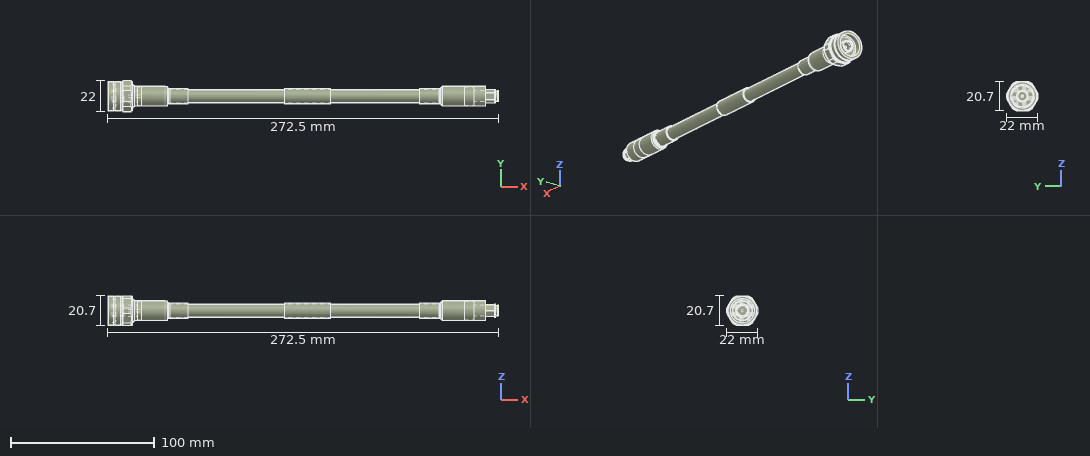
import cadquery as cq
import math


TOTAL_LENGTH = 272.5

CABLE_RADIUS = 4.5
SLEEVE_RADIUS = 5.5
FRONT_SLEEVE_END = 55.8
LABEL_START = 123.0
LABEL_END = 155.3
REAR_SLEEVE_START = 217.0

NUT_RADIUS = 20.5 / 2
NUT_HEX_FLATS = 20.7
NUT_HEX_CORNERS = 22.0
NUT_HEX_START = 10.4
NUT_HEX_END = 17.0
NUT_HEX_CHAMFER = 1.0
NUT_LENGTH = 18.5
NUT_COLLAR_RADIUS = 8.5
NUT_COLLAR_END_RADIUS = 7.0
NUT_BORE_RADIUS = 8.2
NUT_BORE_FLOOR_CHAMFER = 0.8
NUT_BORE_DEPTH = 5.5
NUT_GROOVE_STARTS = (3.8, 8.7)
NUT_GROOVE_WIDTH = 0.8
NUT_GROOVE_DEPTH = 0.3

SHELL_RADIUS = 14.0 / 2
FLANGE_RADIUS = 6.5
NECK_RADIUS = 5.5
NECK_LENGTH = 1.5
NECK_FLARE_LENGTH = 0.8
NECK_FLARE_RADIUS = 5.7

FRONT_SHELL_START = NUT_LENGTH
FRONT_SHELL_END = 41.5
FRONT_SHELL_BEVEL_LENGTH = 1.5
FRONT_SHELL_BEVEL_DEPTH = 0.14
FRONT_NECK_END = FRONT_SHELL_END + NECK_LENGTH
SPIGOT_RADIUS = 4.0
SPIGOT_BORE_RADIUS = 3.3
SPIGOT_BORE_END = 11.0
SPIGOT_START = 2.7
SPIGOT_FLANGE_START = 20.5
SPIGOT_FLANGE_END = 23.5
PIN_RADIUS = 0.8
PIN_START = 5.5

REAR_SHELL_START = 232.4
REAR_SHELL_END = 263.5
REAR_SHELL_CHAMFER = 0.8
REAR_NECK_START = REAR_SHELL_START - NECK_LENGTH
TIP_FLANGE_START = 248.5
TIP_FLANGE_END = 255.2
SHANK_RADIUS = 3.8
TIP_HEX_FLATS = 8.5
TIP_RADIUS = 9.5 / 2
TIP_HEX_END = 269.5
TIP_COLLAR_END = 270.2
TIP_GROOVE_RADIUS = 7.4 / 2
TIP_DISC_START = 271.5
TIP_DISC_RADIUS = 3.8


def turned(*profile):
    """Solid turned about the X axis from a closed outline of (x, radius) points."""
    return cq.Workplane("XZ").polyline(profile).close().revolve(360, (0, 0), (1, 0))


def tube(start, end, outer_radius, inner_radius=0):
    return turned((start, inner_radius), (start, outer_radius), (end, outer_radius), (end, inner_radius))


def hexagon(start, end, flats):
    corners = flats / math.cos(math.pi / 6)
    return cq.Workplane("YZ", origin=(start, 0, 0)).polygon(6, corners).extrude(end - start)


def make_nut():
    """Grooved nut with a hexagon, a tapered rear collar and a bore that fits round the spigot."""
    corner_radius = NUT_HEX_CORNERS / 2
    hex_blank = turned(
        (NUT_HEX_START, 0),
        (NUT_HEX_START, corner_radius),
        (NUT_HEX_END - NUT_HEX_CHAMFER, corner_radius),
        (NUT_HEX_END, corner_radius - NUT_HEX_CHAMFER),
        (NUT_HEX_END, 0),
    )
    nut = hex_blank.intersect(hexagon(NUT_HEX_START, NUT_HEX_END, NUT_HEX_FLATS))
    nut = nut.union(tube(0, NUT_HEX_START, NUT_RADIUS))
    collar = turned(
        (NUT_HEX_END, 0),
        (NUT_HEX_END, NUT_COLLAR_RADIUS),
        (NUT_LENGTH, NUT_COLLAR_END_RADIUS),
        (NUT_LENGTH, 0),
    )
    nut = nut.union(collar)
    for start in NUT_GROOVE_STARTS:
        groove = tube(start, start + NUT_GROOVE_WIDTH, NUT_HEX_CORNERS / 2, NUT_RADIUS - NUT_GROOVE_DEPTH)
        nut = nut.cut(groove)
    bore = turned(
        (0, 0),
        (0, NUT_BORE_RADIUS),
        (NUT_BORE_DEPTH - NUT_BORE_FLOOR_CHAMFER, NUT_BORE_RADIUS),
        (NUT_BORE_DEPTH, NUT_BORE_RADIUS - NUT_BORE_FLOOR_CHAMFER),
        (NUT_BORE_DEPTH, SPIGOT_RADIUS),
        (NUT_LENGTH, SPIGOT_RADIUS),
        (NUT_LENGTH, 0),
    )
    return nut.cut(bore)


def make_spigot():
    """Hollow spigot that runs through the nut, sits in the front shell on a flange and holds the pin."""
    spigot = tube(SPIGOT_START, SPIGOT_FLANGE_START, SPIGOT_RADIUS)
    spigot = spigot.union(tube(SPIGOT_FLANGE_START, SPIGOT_FLANGE_END, FLANGE_RADIUS))
    return spigot.cut(tube(SPIGOT_START, SPIGOT_BORE_END, SPIGOT_BORE_RADIUS)).cut(make_pin())


def make_pin():
    return tube(PIN_START, SPIGOT_FLANGE_END, PIN_RADIUS)


def make_front_shell():
    """Shell behind the nut, with a recess that fits the spigot flange and a flared neck at the cable."""
    shell = turned(
        (FRONT_SHELL_START, 0),
        (FRONT_SHELL_START, SHELL_RADIUS),
        (FRONT_SHELL_END - FRONT_SHELL_BEVEL_LENGTH, SHELL_RADIUS),
        (FRONT_SHELL_END, SHELL_RADIUS - FRONT_SHELL_BEVEL_DEPTH),
        (FRONT_SHELL_END, NECK_FLARE_RADIUS),
        (FRONT_SHELL_END + NECK_FLARE_LENGTH, NECK_RADIUS),
        (FRONT_NECK_END, NECK_RADIUS),
        (FRONT_NECK_END, 0),
    )
    return shell.cut(make_spigot()).cut(make_pin())


def make_rear_shell():
    """Shell with a flared neck at the cable and a recess that fits the flange and shank of the tip."""
    shell = turned(
        (REAR_NECK_START, 0),
        (REAR_NECK_START, NECK_RADIUS),
        (REAR_SHELL_START - NECK_FLARE_LENGTH, NECK_RADIUS),
        (REAR_SHELL_START, NECK_FLARE_RADIUS),
        (REAR_SHELL_START, SHELL_RADIUS - REAR_SHELL_CHAMFER),
        (REAR_SHELL_START + REAR_SHELL_CHAMFER, SHELL_RADIUS),
        (REAR_SHELL_END, SHELL_RADIUS),
        (REAR_SHELL_END, 0),
    )
    return shell.cut(make_tip())


def make_tip():
    """Hexagonal rear plug, held inside the rear shell by a flange on its shank."""
    hex_blank = tube(REAR_SHELL_END, TIP_HEX_END, TIP_RADIUS)
    tip = hex_blank.intersect(hexagon(REAR_SHELL_END, TIP_HEX_END, TIP_HEX_FLATS))
    tip = tip.union(tube(TIP_FLANGE_START, TIP_FLANGE_END, FLANGE_RADIUS))
    tip = tip.union(tube(TIP_FLANGE_END, REAR_SHELL_END, SHANK_RADIUS))
    tip = tip.union(tube(TIP_HEX_END, TIP_COLLAR_END, TIP_RADIUS))
    tip = tip.union(tube(TIP_COLLAR_END, TIP_DISC_START, TIP_GROOVE_RADIUS))
    return tip.union(tube(TIP_DISC_START, TOTAL_LENGTH, TIP_DISC_RADIUS))


cable = tube(FRONT_NECK_END, REAR_NECK_START, CABLE_RADIUS)
sleeves = [
    tube(start, end, SLEEVE_RADIUS, CABLE_RADIUS)
    for start, end in (
        (FRONT_NECK_END, FRONT_SLEEVE_END),
        (LABEL_START, LABEL_END),
        (REAR_SLEEVE_START, REAR_NECK_START),
    )
]

bodies = [
    make_nut(),
    make_spigot(),
    make_pin(),
    make_front_shell(),
    cable,
    *sleeves,
    make_rear_shell(),
    make_tip(),
]
result = cq.Compound.makeCompound([body.val() for body in bodies])